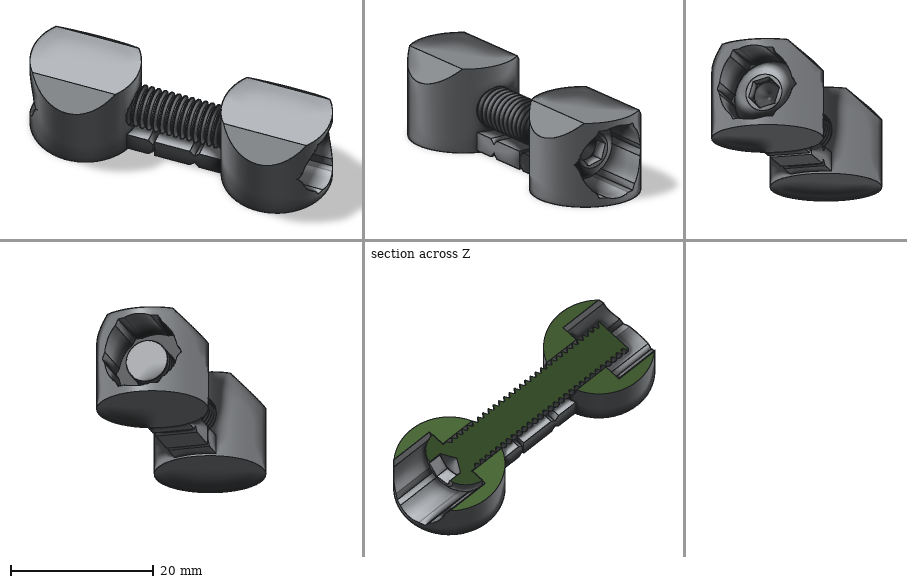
import cadquery as cq
import math

overall_length = 44.3
housing_diameter = 15.7
housing_height = 12.5
edge_chamfer = 3.05
housing_radius = housing_diameter / 2
housing_center_x = (overall_length - housing_diameter) / 2
axis_z = housing_height / 2

pocket_diameter = 10.7
pocket_hex_flats = 10.0
pocket_floor_offset = 1.5
bore_diameter = 6.1

tongue_width = 6.02
tongue_bottom_z = 0.3
tongue_top_z = 3.0
tongue_full_length = 9.35
tongue_break_length = 3.35
notch_depth = 0.7

screw_diameter = 6.02
thread_pitch = 1.0
thread_depth = 0.58
crest_width = 0.15
root_width = 0.2
thread_start = 0.75
screw_length = 30.0
head_diameter = 10.5
head_height = 3.3
head_flat_diameter = 5.25
dome_bulge = 0.58
socket_flats = 4.0
socket_depth = 2.0
socket_tip_angle = 120.0
socket_turn = -13.0


def across_corners(flats):
    return flats / math.cos(math.pi / 6)


def make_barrel():
    """Upright cylinder whose top is chamfered by flats along both Y sides."""
    top_half_width = housing_radius - edge_chamfer
    shoulder_z = housing_height - edge_chamfer
    cross_section = (
        cq.Workplane("YZ")
        .moveTo(-housing_radius, 0)
        .lineTo(housing_radius, 0)
        .lineTo(housing_radius, shoulder_z)
        .lineTo(top_half_width, housing_height)
        .lineTo(-top_half_width, housing_height)
        .lineTo(-housing_radius, shoulder_z)
        .close()
        .extrude(housing_radius, both=True)
    )
    return cq.Workplane("XY").circle(housing_radius).extrude(housing_height).intersect(cross_section)


def make_tongue(broken):
    """Bar pointing to +X from the Z axis; a broken one ends at the root of its V notches."""
    break_x = housing_radius + tongue_break_length
    end_x = break_x if broken else housing_radius + tongue_full_length
    bar = cq.Workplane("XY").box(
        end_x, tongue_width, tongue_top_z - tongue_bottom_z, centered=(False, True, False)
    ).translate((0, 0, tongue_bottom_z))
    for face_z, inward in ((tongue_bottom_z, 1), (tongue_top_z, -1)):
        notch = (
            cq.Workplane("XZ")
            .moveTo(break_x - notch_depth, face_z)
            .lineTo(break_x, face_z + inward * notch_depth)
            .lineTo(break_x + notch_depth, face_z)
            .close()
            .extrude(tongue_width / 2, both=True)
        )
        bar = bar.cut(notch)
    return bar


def make_housing(broken_tongue):
    """Housing on the Z axis: pocket open to -X, tongue pointing to +X."""
    pocket_depth = housing_radius + pocket_floor_offset
    outer_side = cq.Workplane("YZ", origin=(-housing_radius, 0, axis_z))
    round_pocket = outer_side.circle(pocket_diameter / 2).extrude(pocket_depth)
    hex_pocket = outer_side.polygon(6, across_corners(pocket_hex_flats)).extrude(pocket_depth)
    bore = outer_side.circle(bore_diameter / 2).extrude(housing_diameter)
    return (
        make_barrel()
        .union(make_tongue(broken_tongue))
        .cut(round_pocket)
        .cut(hex_pocket)
        .cut(bore)
    )


def make_screw():
    """Screw along +X with its head seat at X = 0; ring-shaped thread grooves on the shank."""
    crest_radius = screw_diameter / 2
    root_radius = crest_radius - thread_depth
    head_radius = head_diameter / 2
    flat_radius = head_flat_diameter / 2
    flank_width = (thread_pitch - crest_width - root_width) / 2

    chord_x = -head_height
    chord_r = flat_radius - head_radius
    chord_length = math.hypot(chord_x, chord_r)
    dome_middle = (
        chord_x / 2 + dome_bulge * chord_r / chord_length,
        (head_radius + flat_radius) / 2 - dome_bulge * chord_x / chord_length,
    )

    profile = (
        cq.Workplane("XZ")
        .moveTo(-head_height, 0)
        .lineTo(-head_height, flat_radius)
        .threePointArc(dome_middle, (0, head_radius))
        .lineTo(0, crest_radius)
    )
    groove_count = int((screw_length - thread_start) / thread_pitch)
    for groove in range(groove_count):
        groove_x = thread_start + groove * thread_pitch
        profile = (
            profile.lineTo(groove_x, crest_radius)
            .lineTo(groove_x + flank_width, root_radius)
            .lineTo(groove_x + flank_width + root_width, root_radius)
            .lineTo(groove_x + 2 * flank_width + root_width, crest_radius)
        )
    profile = profile.lineTo(screw_length, crest_radius).lineTo(screw_length, 0).close()
    body = profile.revolve(360, (0, 0, 0), (1, 0, 0))

    socket = (
        cq.Workplane("YZ", origin=(-head_height, 0, 0))
        .polygon(6, across_corners(socket_flats))
        .extrude(socket_depth)
        .rotate((0, 0, 0), (1, 0, 0), socket_turn)
    )
    socket_floor_x = socket_depth - head_height
    tip_radius = socket_flats / 2
    tip_length = tip_radius / math.tan(math.radians(socket_tip_angle / 2))
    tip = cq.Workplane(
        cq.Solid.makeCone(
            tip_radius, 0, tip_length, cq.Vector(socket_floor_x, 0, 0), cq.Vector(1, 0, 0)
        )
    )
    return body.cut(socket).cut(tip)


left_housing = make_housing(broken_tongue=True).translate((-housing_center_x, 0, 0))
right_housing = (
    make_housing(broken_tongue=False)
    .rotate((0, 0, 0), (0, 0, 1), 180)
    .translate((housing_center_x, 0, 0))
)
screw = make_screw().translate((pocket_floor_offset - housing_center_x, 0, axis_z))

result = cq.Compound.makeCompound([left_housing.val(), right_housing.val(), screw.val()])